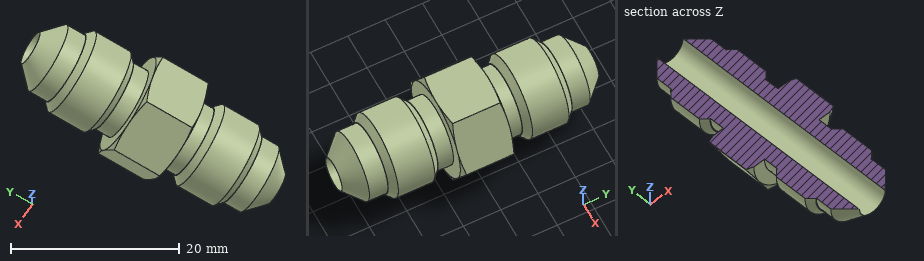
import cadquery as cq
import math

total_length = 34.42
hex_across_flats = 12.7
hex_width = 7.05
hex_chamfer_depth = 0.35
bore_diameter = 4.3

shank_radius = 4.58
collar_radius = 5.58
collar_face_radius = 4.68
collar_outer_end = 12.32
collar_inner_end = 5.65
collar_chamfer = collar_radius - collar_face_radius

half_length = total_length / 2
bore_radius = bore_diameter / 2
nose_length = shank_radius - bore_radius


def end_stem(side):
    """Stepped round stem on the +Y (side = 1) or -Y (side = -1) end."""
    profile = [
        (0, 0),
        (shank_radius, 0),
        (shank_radius, collar_inner_end),
        (collar_face_radius, collar_inner_end),
        (collar_radius, collar_inner_end + collar_chamfer),
        (collar_radius, collar_outer_end - collar_chamfer),
        (collar_face_radius, collar_outer_end),
        (shank_radius, collar_outer_end),
        (shank_radius, half_length - nose_length),
        (bore_radius, half_length),
        (0, half_length),
    ]
    points = [(radius, side * y) for radius, y in profile]
    return cq.Workplane("XY").polyline(points).close().revolve(360, (0, 0), (0, 1))


def hex_nut():
    """Hexagon with corners on +X and -X, its corners turned down on both faces."""
    across_corners = hex_across_flats / math.cos(math.pi / 6)
    corner_radius = across_corners / 2
    flat_radius = hex_across_flats / 2
    half_width = hex_width / 2
    prism = (
        cq.Workplane("XZ")
        .polygon(6, across_corners)
        .extrude(half_width, both=True)
    )
    chamfer_envelope = (
        cq.Workplane("XY")
        .polyline([
            (0, -half_width),
            (flat_radius, -half_width),
            (corner_radius, hex_chamfer_depth - half_width),
            (corner_radius, half_width - hex_chamfer_depth),
            (flat_radius, half_width),
            (0, half_width),
        ])
        .close()
        .revolve(360, (0, 0), (0, 1))
    )
    return prism.intersect(chamfer_envelope)


bore = cq.Workplane("XZ").circle(bore_radius).extrude(half_length, both=True)
result = hex_nut().union(end_stem(1)).union(end_stem(-1)).cut(bore)